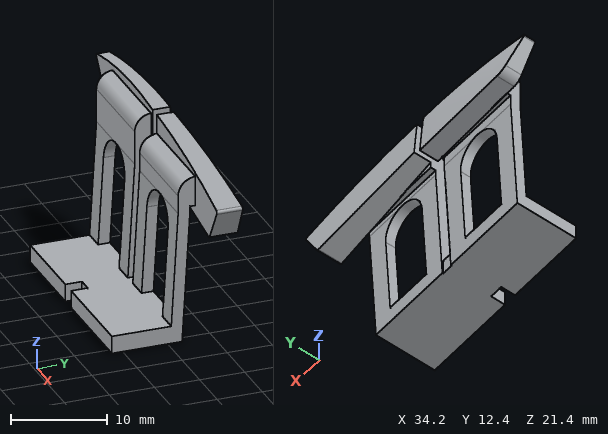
import cadquery as cq
import math


base_left = 4.72
base_width = 23.35
base_depth = 7.7
base_thickness = 2.0
notch_width = 1.65
notch_depth = 1.85
notch_left = 14.8

leg_width = 10.98
left_leg_x = base_left
right_leg_x = base_left + base_width - leg_width
upper_front_y = 7.35
upper_back_y = 8.7
leg_lean = 3.4
slot_width = 5.95

left_cap_front_y = 9.17
right_cap_front_y = 9.27
left_cap_end_x = 16.1
cap_bottom_z = 13.0
cap_top_z = 21.9
cap_reach = 13.7
tip_radius = 0.27
heel_radius = 1.65
left_tip_back = (12.1, 10.25)
inner_back = (11.8, 11.1)
right_tip_back = (12.55, 11.77)
overlap = 0.07


def make_base():
    plate = cq.Workplane("XY").box(base_width, base_depth, base_thickness, centered=False)
    notch = cq.Workplane("XY").box(notch_width, notch_depth, base_thickness, centered=False)
    return plate.translate((base_left, 0, 0)).cut(notch.translate((notch_left, 0, 0)))


def make_leg(x, bend_z, mount_bottom_z, top_z, cap_front_y):
    """Slotted leaning leg with a rounded mount that reaches back to the cap."""
    lean_offset = bend_z * math.tan(math.radians(leg_lean))
    mount_back_y = cap_front_y + overlap
    radius = cap_front_y - upper_front_y
    center_z = top_z - radius
    arc_step = radius * math.sqrt(0.5)
    leg = (
        cq.Workplane("YZ", origin=(x, 0, 0))
        .moveTo(upper_front_y - lean_offset, 0)
        .lineTo(upper_front_y, bend_z)
        .lineTo(upper_front_y, center_z)
        .threePointArc((cap_front_y - arc_step, center_z + arc_step), (cap_front_y, top_z))
        .lineTo(mount_back_y, top_z)
        .lineTo(mount_back_y, mount_bottom_z)
        .lineTo(upper_back_y, mount_bottom_z)
        .lineTo(upper_back_y, bend_z)
        .lineTo(upper_back_y - lean_offset, 0)
        .close()
        .extrude(leg_width)
    )
    slot_radius = slot_width / 2
    arch_z = bend_z - slot_radius
    slot = (
        cq.Workplane("XZ", origin=(x + leg_width / 2, 0, 0))
        .moveTo(-slot_radius, base_thickness)
        .lineTo(-slot_radius, arch_z)
        .threePointArc((0, bend_z), (slot_radius, arch_z))
        .lineTo(slot_radius, base_thickness)
        .close()
        .extrude(-cap_front_y)
    )
    return leg.cut(slot)


def depth_blank(start_x, end_x, front_y, start_back, end_back):
    """Ruled block; each end gives its back Y at the bottom and at the top."""

    def corners(back):
        bottom_back, top_back = back
        return [
            (front_y, cap_bottom_z),
            (bottom_back, cap_bottom_z),
            (top_back, cap_top_z),
            (front_y, cap_top_z),
        ]

    return (
        cq.Workplane("YZ", origin=(start_x, 0, 0))
        .polyline(corners(start_back))
        .close()
        .workplane(offset=end_x - start_x)
        .polyline(corners(end_back))
        .close()
        .loft(ruled=True)
    )


def round_corner(cap, corner, radius):
    x, z = corner
    edge = cq.selectors.NearestToPointSelector((x, cap_reach / 2, z))
    return cap.edges("|Y").edges(edge).fillet(radius)


def make_left_cap():
    tip = (-0.17, 20.22)
    heel = (2.75, 16.2)
    outline = (
        cq.Workplane("XZ")
        .moveTo(*tip)
        .threePointArc((9.15, 21.4), (left_cap_end_x, 21.0))
        .lineTo(left_cap_end_x, 15.6)
        .lineTo(*heel)
        .close()
        .extrude(-cap_reach)
    )
    outline = round_corner(outline, tip, tip_radius)
    outline = round_corner(outline, heel, heel_radius)
    blank = depth_blank(tip[0], left_cap_end_x, left_cap_front_y, left_tip_back, inner_back)
    return outline.intersect(blank)


def make_right_cap():
    inner_x = right_leg_x
    tip = (34.35, 17.4)
    heel = (32.02, 13.4)
    outline = (
        cq.Workplane("XZ")
        .moveTo(inner_x, 20.87)
        .threePointArc((25.85, 19.6), tip)
        .lineTo(*heel)
        .lineTo(inner_x, 16.18)
        .close()
        .extrude(-cap_reach)
    )
    outline = round_corner(outline, tip, tip_radius)
    outline = round_corner(outline, heel, tip_radius)
    blank = depth_blank(inner_x, tip[0], right_cap_front_y, inner_back, right_tip_back)
    return outline.intersect(blank)


left_leg = make_leg(
    left_leg_x, bend_z=14.88, mount_bottom_z=16.18, top_z=20.42, cap_front_y=left_cap_front_y
)
right_leg = make_leg(
    right_leg_x, bend_z=14.78, mount_bottom_z=15.4, top_z=18.7, cap_front_y=right_cap_front_y
)

result = make_base().union(left_leg).union(right_leg).union(make_left_cap()).union(make_right_cap())